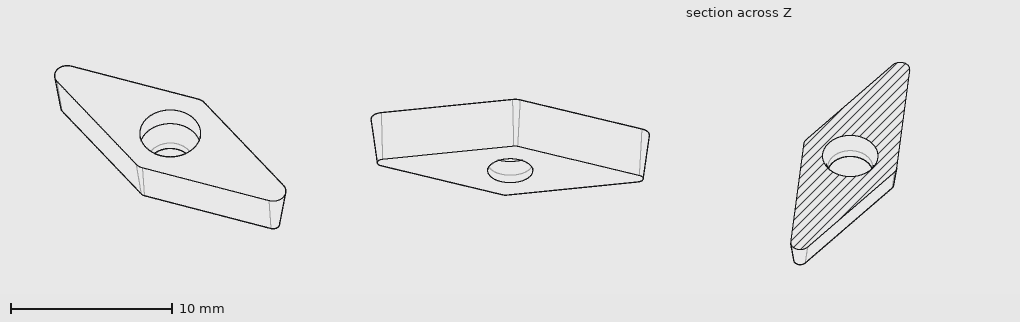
import cadquery as cq
import math

inscribed_diameter = 6.35
thickness = 3.18
nose_angle = 35
nose_radius = 0.8
clearance_angle = 7

mouth_radius = 1.88
bore_radius = 1.4
mouth_depth = 1.33
seat_arc_radius = 2.0


def rounded_rhombus(inscribed_radius, corner_radius, height):
    """Rhombus wire with rounded corners and one pair of edges along X."""
    half_angle = math.radians(nose_angle / 2)
    long_half = inscribed_radius / math.sin(half_angle)
    short_half = inscribed_radius / math.cos(half_angle)
    corners = [(long_half, 0), (0, short_half), (-long_half, 0), (0, -short_half)]
    face = cq.Face.makeFromWires(
        cq.Workplane("XY").polyline(corners).close().rotate((0, 0, 0), (0, 0, 1), nose_angle / 2).val()
    )
    rounded = face.fillet2D(corner_radius, face.Vertices())
    return rounded.outerWire().translate(cq.Vector(0, 0, height))


def make_body():
    """Tapered blank: every flank and corner leans inward toward the bottom."""
    inset = thickness * math.tan(math.radians(clearance_angle))
    bottom = rounded_rhombus(inscribed_diameter / 2 - inset, nose_radius - inset, 0)
    top = rounded_rhombus(inscribed_diameter / 2, nose_radius, thickness)
    return cq.Workplane(cq.Solid.makeLoft([bottom, top], True))


def make_screw_hole():
    """Revolved cutter; the convex seat arc runs tangentially into the bore."""
    seat_top = thickness - mouth_depth
    seat_step = mouth_radius - bore_radius
    seat_drop = math.sqrt(seat_arc_radius**2 - (seat_arc_radius - seat_step) ** 2)
    half_sweep = math.acos(1 - seat_step / seat_arc_radius) / 2
    seat_middle = (
        bore_radius + seat_arc_radius * (1 - math.cos(half_sweep)),
        seat_top - seat_drop + seat_arc_radius * math.sin(half_sweep),
    )
    return (
        cq.Workplane("XZ")
        .lineTo(bore_radius, 0)
        .lineTo(bore_radius, seat_top - seat_drop)
        .threePointArc(seat_middle, (mouth_radius, seat_top))
        .lineTo(mouth_radius, thickness)
        .lineTo(0, thickness)
        .close()
        .revolve(360, (0, 0), (0, 1))
    )


result = make_body().cut(make_screw_hole())